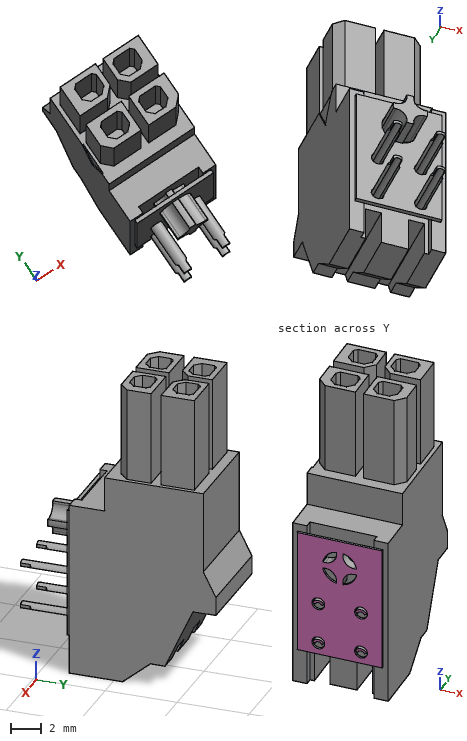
import cadquery as cq
import math

PITCH = 3.0
COLUMNS = (-PITCH / 2, PITCH / 2)
OVERLAP = 0.1

BODY_WIDTH = 6.71
BODY_TOP = 14.52
SHOULDER_Z = 12.13
SHOULDER_Y = 2.45
BACK_Y = 9.32
LATCH_Y = 10.2
LATCH_BOTTOM = 5.87
LATCH_FLAT_TOP = 7.18
LATCH_SLOPE_TOP = 8.87
LATCH_INNER_Y = 8.6
REAR_STEP_Z = 1.62
REAR_STEP_BACK_Y = 6.65
REAR_STEP_FRONT_Y = 5.65
BASE_BACK_Y = 3.71

RECESS_WIDTH = 4.7
RECESS_DEPTH = 0.5
SLOT_WIDTH = 1.1

PLATE_WIDTH = 5.98
PLATE_BOTTOM = 2.54
PLATE_TOP = 11.55
PLATE_FRONT = -0.27

TOWER_TOP = 20.98
TOWER_WIDTH = 2.77
TOWER_DEPTH = 2.3
TOWER_INSET = 0.3
TOWER_CHAMFER = 0.63
FRONT_TOWER_Y = 3.27
BORE_WIDTH = 1.7
BORE_DEPTH = 1.51
BORE_OFFSET = 0.4
BORE_FRONT_CHAMFER = 0.42
BORE_BACK_CHAMFER = 0.23

POST_Z = 9.48
POST_DIAMETER = 2.4
POST_END_Y = -2.3
POST_ARM_WIDTH = 0.48
POST_GROOVE_RADIUS = 0.75

LOWER_PIN_Z = 3.42
PIN_ROWS = (LOWER_PIN_Z, LOWER_PIN_Z + PITCH)
PIN_HOLE_DIAMETER = 0.85
PIN_WIDTH = 0.85
PIN_RISE = 0.27
PIN_THICKNESS = 0.2
OVERALL_DEPTH = 14.16
PIN_TIP_Y = LATCH_Y - OVERALL_DEPTH
PIN_TIP_WIDTH = 0.59
PIN_TIP_LENGTH = 0.67
PIN_SHOULDER_LENGTH = 0.13

MARK_BACK_Y = FRONT_TOWER_Y + TOWER_DEPTH
MARK_HEIGHT = 1.95
MARK_DEPTH = 0.08


def box(x_range, y_range, z_range):
    """Box between the given limits."""
    limits = (x_range, y_range, z_range)
    sizes = [high - low for low, high in limits]
    return cq.Workplane("XY").box(*sizes, centered=False).translate([low for low, high in limits])


def rod(x, z, diameter, y_front, y_back):
    """Cylinder along Y between two Y positions."""
    return (
        cq.Workplane("XZ", origin=(x, y_back, z))
        .circle(diameter / 2)
        .extrude(y_back - y_front)
    )


def make_housing():
    """Side outline of the housing extruded over its width."""
    outline = [
        (0, 0),
        (0, SHOULDER_Z),
        (SHOULDER_Y, SHOULDER_Z),
        (SHOULDER_Y, BODY_TOP),
        (BACK_Y, BODY_TOP),
        (BACK_Y, LATCH_SLOPE_TOP),
        (LATCH_Y, LATCH_FLAT_TOP),
        (LATCH_Y, LATCH_BOTTOM),
        (LATCH_INNER_Y, LATCH_BOTTOM),
        (REAR_STEP_BACK_Y, REAR_STEP_Z),
        (REAR_STEP_FRONT_Y, REAR_STEP_Z),
        (BASE_BACK_Y, 0),
    ]
    housing = cq.Workplane("YZ").polyline(outline).close().extrude(BODY_WIDTH / 2, both=True)

    half_recess = RECESS_WIDTH / 2
    housing = housing.cut(box((-half_recess, half_recess), (0, RECESS_DEPTH), (0, SHOULDER_Z)))
    for x in COLUMNS:
        slot_sides = (x - SLOT_WIDTH / 2, x + SLOT_WIDTH / 2)
        housing = housing.cut(box(slot_sides, (0, LATCH_Y), (0, PLATE_BOTTOM)))
    return housing


def make_mark():
    """Shallow triangle, point down, sunk into the left side."""
    middle_y = (FRONT_TOWER_Y + MARK_BACK_Y) / 2
    corners = [(FRONT_TOWER_Y, BODY_TOP), (MARK_BACK_Y, BODY_TOP), (middle_y, BODY_TOP - MARK_HEIGHT)]
    return (
        cq.Workplane("YZ", origin=(-BODY_WIDTH / 2, 0, 0))
        .polyline(corners)
        .close()
        .extrude(MARK_DEPTH)
    )


def make_tower(side, y_front, chamfer_outside):
    """Tower on one side (-1 left, +1 right) with one chamfered front corner, inner or outer."""
    inner = side * TOWER_INSET
    outer = side * (TOWER_INSET + TOWER_WIDTH)
    plain_x, cut_x = (inner, outer) if chamfer_outside else (outer, inner)
    inward = math.copysign(TOWER_CHAMFER, plain_x - cut_x)
    y_back = y_front + TOWER_DEPTH
    outline = [
        (plain_x, y_back),
        (plain_x, y_front),
        (cut_x + inward, y_front),
        (cut_x, y_front + TOWER_CHAMFER),
        (cut_x, y_back),
    ]
    height = TOWER_TOP - BODY_TOP + OVERLAP
    return cq.Workplane("XY", origin=(0, 0, BODY_TOP - OVERLAP)).polyline(outline).close().extrude(height)


def make_bore(x, y_front):
    """Eight-sided contact bore, as deep as the tower is tall."""
    bore = box(
        (x - BORE_WIDTH / 2, x + BORE_WIDTH / 2),
        (y_front, y_front + BORE_DEPTH),
        (BODY_TOP, TOWER_TOP),
    )
    bore = bore.edges("|Z and <Y").chamfer(BORE_FRONT_CHAMFER)
    return bore.edges("|Z and >Y").chamfer(BORE_BACK_CHAMFER)


def make_plate():
    """Alignment plate with clearance holes for the post and the pins."""
    half_width = PLATE_WIDTH / 2
    plate = box((-half_width, half_width), (PLATE_FRONT, 0), (PLATE_BOTTOM, PLATE_TOP))
    plate = plate.cut(rod(0, POST_Z, POST_DIAMETER, PLATE_FRONT, 0))
    for x in COLUMNS:
        for z in PIN_ROWS:
            plate = plate.cut(rod(x, z, PIN_HOLE_DIAMETER, PLATE_FRONT, 0))
    return plate


def make_post():
    """Round post with four filleted corner grooves that leave a cross of equal arms."""
    y_back = RECESS_DEPTH + OVERLAP
    post = rod(0, POST_Z, POST_DIAMETER, POST_END_Y, y_back)
    near = POST_ARM_WIDTH / 2
    far = POST_DIAMETER / 2
    groove = box((near, far), (POST_END_Y, y_back), (near, far))
    groove = groove.edges("|Y and <X and <Z").fillet(POST_GROOVE_RADIUS)
    for quarter in range(4):
        turned = groove.rotate((0, 0, 0), (0, 1, 0), 90 * quarter)
        post = post.cut(turned.translate((0, 0, POST_Z)))
    return post


def make_pin(x, z):
    """Arched strip along -Y with radial side edges and a narrowed tip."""
    half_width = PIN_WIDTH / 2
    outer_radius = (half_width**2 + PIN_RISE**2) / (2 * PIN_RISE)
    inner_radius = outer_radius - PIN_THICKNESS
    centre_z = PIN_RISE - outer_radius
    half_angle = math.asin(half_width / outer_radius)

    def arch_point(radius, angle):
        return radius * math.sin(angle), centre_z + radius * math.cos(angle)

    y_back = RECESS_DEPTH + OVERLAP
    strip = (
        cq.Workplane("XZ", origin=(0, y_back, 0))
        .moveTo(*arch_point(outer_radius, -half_angle))
        .threePointArc(arch_point(outer_radius, 0), arch_point(outer_radius, half_angle))
        .lineTo(*arch_point(inner_radius, half_angle))
        .threePointArc(arch_point(inner_radius, 0), arch_point(inner_radius, -half_angle))
        .close()
        .extrude(y_back - PIN_TIP_Y)
    )

    half_tip = PIN_TIP_WIDTH / 2
    tip_start = PIN_TIP_Y + PIN_TIP_LENGTH
    shoulder_start = tip_start + PIN_SHOULDER_LENGTH
    plan = [
        (-half_width, y_back),
        (-half_width, shoulder_start),
        (-half_tip, tip_start),
        (-half_tip, PIN_TIP_Y),
        (half_tip, PIN_TIP_Y),
        (half_tip, tip_start),
        (half_width, shoulder_start),
        (half_width, y_back),
    ]
    blank = cq.Workplane("XY").polyline(plan).close().extrude(outer_radius, both=True)
    return strip.intersect(blank).translate((x, 0, z))


result = make_housing().cut(make_mark())

for y_front, chamfer_outside in ((FRONT_TOWER_Y, True), (FRONT_TOWER_Y + PITCH, False)):
    for side in (-1, 1):
        bore = make_bore(side * PITCH / 2, y_front + BORE_OFFSET)
        result = result.union(make_tower(side, y_front, chamfer_outside).cut(bore))

result = result.union(make_plate()).union(make_post())
for pin_x in COLUMNS:
    for pin_z in PIN_ROWS:
        result = result.union(make_pin(pin_x, pin_z))